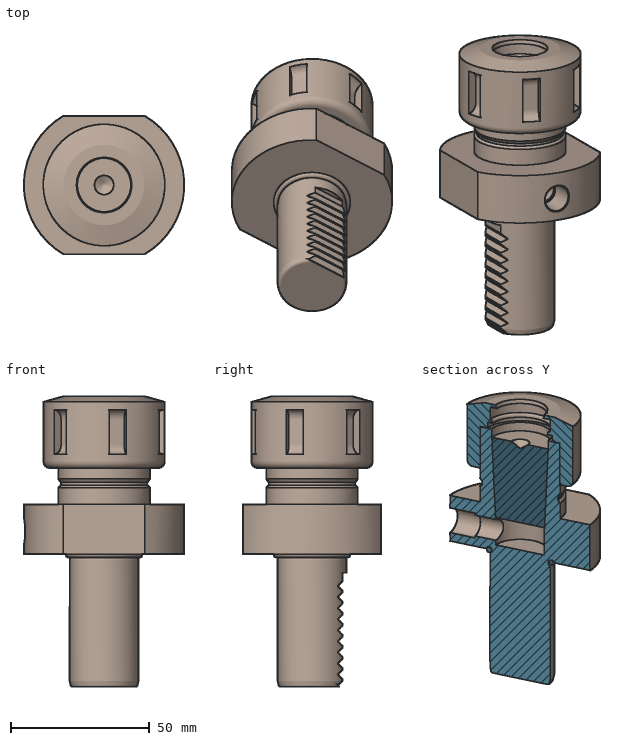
import cadquery as cq

total_height = 105.0
flange_bottom = 48.0
flange_top = 65.9
nut_bottom = 79.0
neck_top = 95.3

shank_radius = 12.5
shank_lead_height = 2.2
shank_lead_inset = 0.3
shank_end_round = 0.9
shank_relief_depth = 0.2
shank_relief_bottom = 45.8
shank_relief_top = 46.8

flange_radius = 29.0
flange_flat_distance = 25.0

neck_radius = 16.6
neck_groove_depth = 0.9
neck_groove_bottom = 71.9
neck_groove_lower_flank = 0.9
neck_groove_upper_flank = 1.3
neck_groove_height = 3.2

mouth_radius = 11.7
bore_radius = 9.9
bore_floor = 50.4
taper_bottom = 58.2
taper_slope = (mouth_radius - bore_radius) / (neck_top - taper_bottom)

side_hole_height = 56.2
side_hole_radius = 4.7
side_hole_chamfer = 0.26
side_hole_depth = 10.5
side_passage_radius = 4.0

tooth_flat_distance = 11.0
tooth_flat_top = 41.2
tooth_count = 10
tooth_pitch = 4.0
tooth_depth = 1.7
first_root_height = 36.4

ring_radius = 12.8
ring_tube_radius = 1.0
ring_height = 47.8

plug_bottom = 60.9
plug_top = 92.1
dimple_radius = 3.5
dimple_depth = 2.1

nut_radius = 21.9
nut_face_radius = 14.5
nut_chamfer_height = 2.1
nut_bottom_round = 2.5
nut_opening_top_radius = 10.0
nut_opening_bottom_radius = 9.7
nut_opening_height = 1.5
nut_groove_radius = 12.3
nut_lip_top = 98.9
nut_lip_round = 0.9
nut_lip_bottom = 97.4
nut_throat_radius = 13.2
nut_turn = 13.2

slot_count = 6
slot_width = 6.4
slot_bottom = 84.0
slot_top = 100.1
slot_floor_radius = 18.3
slot_end_round = 3.5


def turned(profile):
    """Revolve a closed profile of (radius, height) about the Z axis."""
    return profile.close().revolve(360, (0, 0, 0), (0, 1, 0))


def make_shank_and_neck():
    """Turned outside of the holder, without its bore."""
    lead_radius = shank_radius - shank_lead_inset
    relief_radius = shank_radius - shank_relief_depth
    groove_radius = neck_radius - neck_groove_depth
    groove_top = neck_groove_bottom + neck_groove_height
    return turned(
        cq.Workplane("XZ")
        .moveTo(0, 0)
        .lineTo(lead_radius - shank_end_round, 0)
        .radiusArc((lead_radius, shank_end_round), -shank_end_round)
        .lineTo(shank_radius, shank_lead_height)
        .lineTo(shank_radius, shank_relief_bottom)
        .lineTo(relief_radius, shank_relief_top)
        .lineTo(relief_radius, flange_bottom)
        .lineTo(flange_radius, flange_bottom)
        .lineTo(flange_radius, flange_top)
        .lineTo(neck_radius, flange_top)
        .lineTo(neck_radius, neck_groove_bottom)
        .lineTo(groove_radius, neck_groove_bottom + neck_groove_lower_flank)
        .lineTo(groove_radius, groove_top - neck_groove_upper_flank)
        .lineTo(neck_radius, groove_top)
        .lineTo(neck_radius, neck_top)
        .lineTo(0, neck_top)
    )


def make_flange_flats():
    """Two blocks that trim the flange to a width across flats."""
    reach = flange_radius - flange_flat_distance
    height = flange_top - flange_bottom
    center_y = flange_flat_distance + reach / 2
    return (
        cq.Workplane("XY", origin=(0, 0, flange_bottom))
        .pushPoints([(0, center_y), (0, -center_y)])
        .rect(2 * flange_radius, reach)
        .extrude(height)
    )


def taper_radius(height):
    """Radius of the tapered bore at a height."""
    return bore_radius + taper_slope * (height - taper_bottom)


def make_bore():
    """Bore that tapers gently from the mouth down to a straight lower part."""
    return turned(
        cq.Workplane("XZ")
        .moveTo(0, bore_floor)
        .lineTo(bore_radius, bore_floor)
        .lineTo(bore_radius, taper_bottom)
        .lineTo(mouth_radius, neck_top)
        .lineTo(0, neck_top)
    )


def make_side_hole():
    """Stepped hole from the -X side of the flange into the bore."""
    outside = cq.Workplane("YZ", origin=(-flange_radius, 0, side_hole_height))
    hole = outside.circle(side_hole_radius).extrude(side_hole_depth)
    passage = outside.circle(side_passage_radius).extrude(flange_radius)
    return hole.union(passage)


def make_teeth_cut():
    """Flat along the shank with a row of 90 degree notches."""
    depth = shank_radius - tooth_flat_distance
    cut = cq.Workplane("XY").box(
        2 * shank_radius, depth, tooth_flat_top, centered=(True, False, False)
    ).translate((0, tooth_flat_distance, 0))
    for index in range(tooth_count):
        root_height = first_root_height - index * tooth_pitch
        notch = (
            cq.Workplane("YZ")
            .moveTo(tooth_flat_distance - tooth_depth, root_height)
            .lineTo(tooth_flat_distance, root_height + tooth_depth)
            .lineTo(tooth_flat_distance, root_height - tooth_depth)
            .close()
            .extrude(shank_radius, both=True)
        )
        cut = cut.union(notch)
    return cut


def make_sealing_ring():
    """Round-section ring seated partly in the flange and the shank."""
    return (
        cq.Workplane("XZ")
        .center(ring_radius, ring_height)
        .circle(ring_tube_radius)
        .revolve(360, (-ring_radius, 0, 0), (-ring_radius, 1, 0))
    )


def make_holder(sealing_ring):
    """Holder in one piece, with a chamfered side hole and a groove for the sealing ring."""
    rim_reach = side_hole_radius + side_hole_chamfer
    rim_box = cq.selectors.BoxSelector(
        (-flange_radius - rim_reach, -rim_reach, side_hole_height - rim_reach),
        (-flange_radius + rim_reach, rim_reach, side_hole_height + rim_reach),
        boundingbox=True,
    )
    return (
        make_shank_and_neck()
        .cut(make_flange_flats())
        .cut(make_side_hole())
        .edges(rim_box)
        .chamfer(side_hole_chamfer)
        .cut(make_bore())
        .cut(make_teeth_cut())
        .cut(sealing_ring)
    )


def make_plug():
    """Plug wedged in the tapered bore, with a conical dimple on top."""
    return turned(
        cq.Workplane("XZ")
        .moveTo(0, plug_bottom)
        .lineTo(taper_radius(plug_bottom), plug_bottom)
        .lineTo(taper_radius(plug_top), plug_top)
        .lineTo(dimple_radius, plug_top)
        .lineTo(0, plug_top - dimple_depth)
    )


def make_nut_blank():
    """Turned nut: chamfered top, rounded bottom, lipped opening and a bore for the neck."""
    opening_bottom = total_height - nut_opening_height
    lip_radius = nut_groove_radius - nut_lip_round
    return turned(
        cq.Workplane("XZ")
        .moveTo(neck_radius, nut_bottom)
        .lineTo(nut_radius - nut_bottom_round, nut_bottom)
        .radiusArc((nut_radius, nut_bottom + nut_bottom_round), -nut_bottom_round)
        .lineTo(nut_radius, total_height - nut_chamfer_height)
        .lineTo(nut_face_radius, total_height)
        .lineTo(nut_opening_top_radius, total_height)
        .lineTo(nut_opening_bottom_radius, opening_bottom)
        .lineTo(nut_groove_radius, opening_bottom)
        .lineTo(nut_groove_radius, nut_lip_top)
        .radiusArc((lip_radius, nut_lip_top - nut_lip_round), -nut_lip_round)
        .lineTo(lip_radius, nut_lip_bottom)
        .lineTo(nut_throat_radius, nut_lip_bottom)
        .lineTo(nut_throat_radius, neck_top)
        .lineTo(neck_radius, neck_top)
    )


def make_wrench_slot():
    """Slot cut into the +X side of the nut, with rounded ends."""
    slot = cq.Workplane("XY").box(
        nut_radius - slot_floor_radius,
        slot_width,
        slot_top - slot_bottom,
        centered=(False, True, False),
    ).translate((slot_floor_radius, 0, slot_bottom))
    return slot.edges("|Y and <X").fillet(slot_end_round)


def make_nut():
    """Nut with evenly spaced wrench slots, in its tightened position."""
    nut = make_nut_blank()
    slot = make_wrench_slot()
    pitch_angle = 360 / slot_count
    for index in range(slot_count):
        angle = pitch_angle / 2 + index * pitch_angle
        nut = nut.cut(slot.rotate((0, 0, 0), (0, 0, 1), angle))
    return nut.rotate((0, 0, 0), (0, 0, 1), nut_turn)


sealing_ring = make_sealing_ring()
holder = make_holder(sealing_ring)
plug = make_plug()
nut = make_nut()

result = cq.Compound.makeCompound(
    [
        holder.solids().val(),
        sealing_ring.val(),
        plug.val(),
        nut.solids().val(),
    ]
)